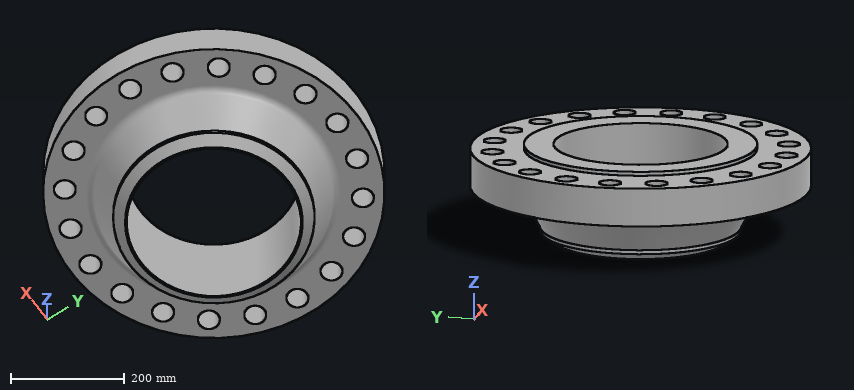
import cadquery as cq

flange_diameter = 603.0
flange_thickness = 69.0
face_diameter = 412.5
face_height = 7.0

overall_height = 171.5
hub_base_diameter = 432.0
hub_end_diameter = 356.0
root_fillet = 15.0
weld_land_height = 7.0
bevel_height = 14.5
weld_tip_diameter = 313.5

bore_diameter = 307.5
bolt_count = 20
bolt_circle_diameter = 526.5
bolt_hole_diameter = 38.5

bevel_top = bevel_height
land_top = bevel_top + weld_land_height
flange_top = overall_height - face_height
flange_bottom = flange_top - flange_thickness


def revolved_body():
    """Solid of revolution about Z, without its bore."""
    return (
        cq.Workplane("XZ")
        .moveTo(0, 0)
        .lineTo(weld_tip_diameter / 2, 0)
        .lineTo(hub_end_diameter / 2, bevel_top)
        .lineTo(hub_end_diameter / 2, land_top)
        .lineTo(hub_base_diameter / 2, flange_bottom)
        .lineTo(flange_diameter / 2, flange_bottom)
        .lineTo(flange_diameter / 2, flange_top)
        .lineTo(face_diameter / 2, flange_top)
        .lineTo(face_diameter / 2, overall_height)
        .lineTo(0, overall_height)
        .close()
        .revolve(360, (0, 0, 0), (0, 1, 0))
    )


def round_hub_root(body):
    """Fillet the inner corner where the hub meets the flange."""
    level_band = cq.selectors.BoxSelector(
        (-flange_diameter, -flange_diameter, flange_bottom - root_fillet / 2),
        (flange_diameter, flange_diameter, flange_bottom + root_fillet / 2),
    )
    smallest_radius = cq.selectors.RadiusNthSelector(0)
    root_edge = body.edges("%CIRCLE").edges(level_band).edges(smallest_radius)
    return root_edge.fillet(root_fillet)


def cut_bore(body):
    bore = cq.Workplane("XY").circle(bore_diameter / 2).extrude(overall_height)
    return body.cut(bore)


def cut_bolt_holes(body):
    holes = (
        cq.Workplane("XY", origin=(0, 0, flange_bottom))
        .polarArray(bolt_circle_diameter / 2, 0, 360, bolt_count)
        .circle(bolt_hole_diameter / 2)
        .extrude(flange_thickness)
    )
    return body.cut(holes)


result = cut_bolt_holes(cut_bore(round_hub_root(revolved_body())))